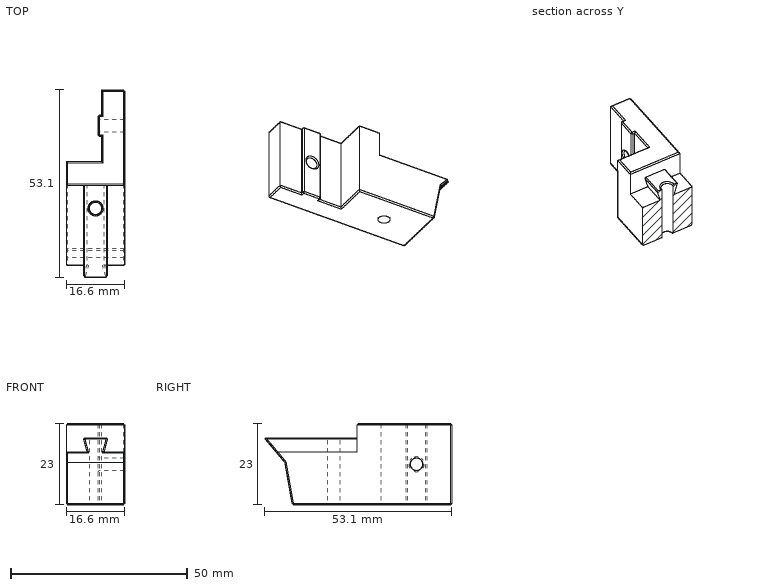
import math

import cadquery as cq


body_width = 16.6
body_height = 23.0
half_width = body_width / 2
edge_chamfer = 0.4

ledge_height = 15.0
rail_top_height = 19.0
rail_top_width = 7.0
rail_flank_angle = 15.0

nose_base_length = 18.37
nose_lean_angle = 10.0
knee_height = 12.0
overhang_angle = 40.0

shoulder_depth = 6.8
arm_length = 27.0
arm_thickness = 6.6
arm_face_x = half_width - arm_thickness

key_width = 6.0
key_projection = 1.0
key_end_distance = 10.1
key_center_y = arm_length - key_end_distance
key_face_x = arm_face_x - key_projection

hole_diameter = 3.5
countersink_angle = 45.0
countersink_diameter = hole_diameter + 2 * edge_chamfer
rail_hole_y = -6.55
arm_hole_height = body_height / 2

knee_y = -(nose_base_length + knee_height * math.tan(math.radians(nose_lean_angle)))
tip_y = knee_y - (rail_top_height - knee_height) * math.tan(math.radians(overhang_angle))

tolerance = 0.01


def make_shoulder_and_arm():
    """L-shaped block with the locating key on the inner face of the arm."""
    key_front = key_center_y - key_width / 2
    key_rear = key_center_y + key_width / 2
    outline = [
        (-half_width, 0),
        (half_width, 0),
        (half_width, arm_length),
        (arm_face_x, arm_length),
        (arm_face_x, key_rear),
        (key_face_x, key_rear),
        (key_face_x, key_front),
        (arm_face_x, key_front),
        (arm_face_x, shoulder_depth),
        (-half_width, shoulder_depth),
    ]
    return cq.Workplane("XY").polyline(outline).close().extrude(body_height)


def make_nose():
    """Ledge with its dovetail rail, trimmed to the leaning nose profile."""
    flank_run = (rail_top_height - ledge_height) * math.tan(math.radians(rail_flank_angle))
    rail_top_half = rail_top_width / 2
    rail_root_half = rail_top_half - flank_run
    section = [
        (-half_width, 0),
        (half_width, 0),
        (half_width, ledge_height),
        (rail_root_half, ledge_height),
        (rail_top_half, rail_top_height),
        (-rail_top_half, rail_top_height),
        (-rail_root_half, ledge_height),
        (-half_width, ledge_height),
    ]
    side_profile = [
        (0, 0),
        (-nose_base_length, 0),
        (knee_y, knee_height),
        (tip_y, rail_top_height),
        (0, rail_top_height),
    ]
    bar = cq.Workplane("XZ").polyline(section).close().extrude(-tip_y)
    envelope = cq.Workplane("YZ").polyline(side_profile).close().extrude(half_width, both=True)
    return bar.intersect(envelope)


def is_at(value, target):
    return abs(value - target) < tolerance


def is_on_nose_face(edge):
    """True for the rim edges of the two leaning front faces, leaving out the knee between them."""
    box = edge.BoundingBox()
    if is_at(box.zmin, knee_height) and is_at(box.zmax, knee_height):
        return False
    for end in (edge.startPoint(), edge.endPoint()):
        if end.z < knee_height:
            rise, start_y, angle = end.z, -nose_base_length, nose_lean_angle
        else:
            rise, start_y, angle = end.z - knee_height, knee_y, overhang_angle
        if not is_at(end.y, start_y - rise * math.tan(math.radians(angle))):
            return False
    return True


def is_rail_top_edge(edge):
    box = edge.BoundingBox()
    return is_at(box.zmin, rail_top_height) and is_at(box.xmin, box.xmax) and box.ymin < -tolerance


def is_level_rim(edge):
    """True for the edges around the top face and around the underside."""
    box = edge.BoundingBox()
    return is_at(box.zmin, body_height) or is_at(box.zmax, 0)


def is_chamfered_upright(edge):
    """True for the outer rear corner of the arm and the two front corners of the key."""
    box = edge.BoundingBox()
    if not (is_at(box.xmin, box.xmax) and is_at(box.ymin, box.ymax)):
        return False
    rear_corner = is_at(box.xmin, half_width) and is_at(box.ymin, arm_length)
    return rear_corner or is_at(box.xmin, key_face_x)


def chamfer_edges(part):
    tests = (is_on_nose_face, is_rail_top_edge, is_level_rim, is_chamfered_upright)
    edges = [edge for edge in part.edges().vals() if any(test(edge) for test in tests)]
    return part.newObject(edges).chamfer(edge_chamfer)


def make_screw_hole(entry, direction, depth):
    """Cutter for a through hole with a countersink at its entry."""
    plane = cq.Plane(origin=entry, normal=direction)
    bore = cq.Workplane(plane).circle(hole_diameter / 2).extrude(depth)
    countersink = (
        cq.Workplane(plane).circle(countersink_diameter / 2).extrude(edge_chamfer, taper=countersink_angle)
    )
    return bore.union(countersink)


body = make_shoulder_and_arm().union(make_nose())
body = chamfer_edges(body)
rail_hole = make_screw_hole((0, rail_hole_y, rail_top_height), (0, 0, -1), rail_top_height)
arm_hole = make_screw_hole(
    (key_face_x, key_center_y, arm_hole_height), (1, 0, 0), half_width - key_face_x
)
result = body.cut(rail_hole).cut(arm_hole)